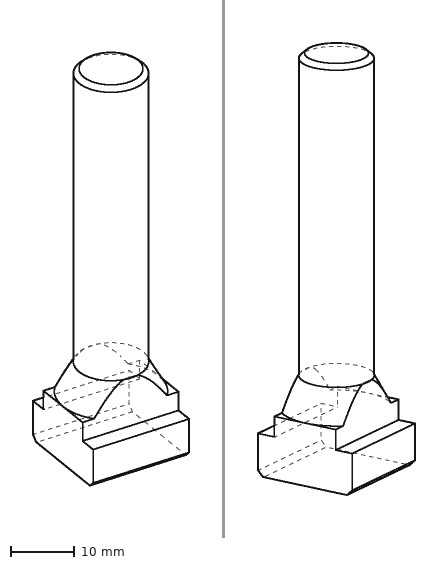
import cadquery as cq

total_height = 70.0
head_width = 18.0
flange_height = 7.15
flange_chamfer = 1.0
neck_width = 11.7
neck_top = 10.6
cone_top = 16.0
shank_diameter = 12.0
tip_chamfer_height = 0.85
tip_chamfer_inset = 0.9

shank_radius = shank_diameter / 2
head_radius = head_width / 2
tip_radius = shank_radius - tip_chamfer_inset


def make_flange():
    """Square flange, chamfered along its two lower edges parallel to Y."""
    block = cq.Workplane("XY").box(head_width, head_width, flange_height, centered=(True, True, False))
    return block.faces("<Z").edges("|Y").chamfer(flange_chamfer)


def make_neck():
    """Slot-wide block with a cone above it, trimmed to the neck width."""
    block = cq.Workplane("XY").box(neck_width, head_width, neck_top, centered=(True, True, False))
    cone_profile = [(0, neck_top), (head_radius, neck_top), (shank_radius, cone_top), (0, cone_top)]
    cone = cq.Workplane("XZ").polyline(cone_profile).close().revolve(360, (0, 0), (0, 1))
    trim = cq.Workplane("XY").box(neck_width, head_width, cone_top, centered=(True, True, False))
    return block.union(cone.intersect(trim))


def make_shank():
    """Round shank above the cone with a chamfered tip."""
    shank_profile = [
        (0, cone_top),
        (shank_radius, cone_top),
        (shank_radius, total_height - tip_chamfer_height),
        (tip_radius, total_height),
        (0, total_height),
    ]
    return cq.Workplane("XZ").polyline(shank_profile).close().revolve(360, (0, 0), (0, 1))


result = make_flange().union(make_neck()).union(make_shank())